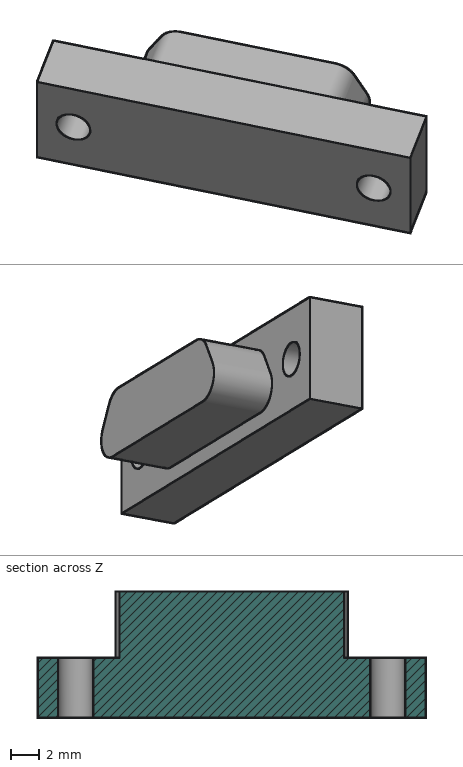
import cadquery as cq
import math

plate_length = 27.3
plate_thickness = 4.23
plate_height = 7.62

hole_diameter = 2.45
hole_spacing = 21.95

shell_depth = 4.67
shell_top = 2.3
shell_bottom = -2.6
shell_top_half_width = 6.58
shell_side_angle = 30.0
shell_corner_radius = 1.67


def make_plate():
    """Rectangular plate with a mounting hole through each end."""
    return (
        cq.Workplane("XY")
        .box(plate_length, plate_thickness, plate_height, centered=(True, False, True))
        .faces("<Y")
        .workplane(centerOption="CenterOfBoundBox")
        .pushPoints([(-hole_spacing / 2, 0), (hole_spacing / 2, 0)])
        .hole(hole_diameter)
    )


def make_shell():
    """Trapezoid, wider at the bottom, with all four corners rounded."""
    side_run = (shell_top - shell_bottom) * math.tan(math.radians(shell_side_angle))
    bottom_half_width = shell_top_half_width + side_run
    outline = [
        (-bottom_half_width, shell_bottom),
        (bottom_half_width, shell_bottom),
        (shell_top_half_width, shell_top),
        (-shell_top_half_width, shell_top),
    ]
    return (
        cq.Workplane("XZ", origin=(0, plate_thickness, 0))
        .polyline(outline)
        .close()
        .extrude(-shell_depth)
        .edges("|Y")
        .fillet(shell_corner_radius)
    )


result = make_plate().union(make_shell())